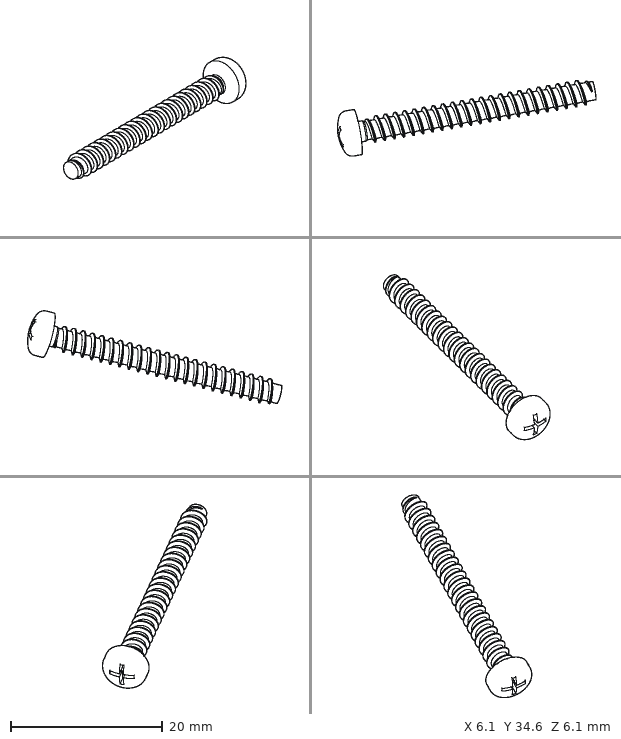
import cadquery as cq
import math


LENGTH = 34.65

HEAD_RADIUS = 3.05
HEAD_HEIGHT = 2.65
RIM_HEIGHT = 1.07
CROWN_EDGE_RADIUS = 2.4
CROWN_DEPTH = 0.52

SLOT_WIDTH = 0.55
SLOT_SPAN = 3.4
SLOT_DEPTH = 1.3

NECK_RADIUS = 1.4
NECK_FILLET = 0.5
NECK_LENGTH = 0.83
NECK_TAPER_LENGTH = 0.2

CORE_RADIUS = 1.25
TIP_CONE_HEIGHT = 0.1

FULL_TURNS = 22
FULL_THREAD_LENGTH = 28.4
PITCH = FULL_THREAD_LENGTH / FULL_TURNS
MAJOR_RADIUS = 1.73
CREST_WIDTH = 0.15
HEAD_FOOT_OFFSET = -0.38
TIP_FOOT_OFFSET = 0.2
LEDGE_RISE = 0.052
LEDGE_DIP = 0.017
LEDGE_RADIUS = CORE_RADIUS + LEDGE_RISE
LEDGE_END_RADIUS = CORE_RADIUS - LEDGE_DIP
LEDGE_END_OFFSET = 0.83
BURIED_RADIUS = 1.15
FADED_CREST_RADIUS = 1.18
FADED_LEDGE_OFFSET = 0.28

CREST_ON_X = 2.67
THREAD_START = 3.35
THREAD_FULL_START = 4.65
THREAD_END = 34.27


def arc_radius(half_chord, rise):
    """Radius of the arc that rises by a given height over half of its chord."""
    return (half_chord**2 + rise**2) / (2 * rise)


CROWN_RADIUS = arc_radius(CROWN_EDGE_RADIUS, CROWN_DEPTH)
CORNER_WIDTH = HEAD_RADIUS - CROWN_EDGE_RADIUS
CORNER_DEPTH = HEAD_HEIGHT - RIM_HEIGHT - CROWN_DEPTH
CORNER_RADIUS = arc_radius(CORNER_DEPTH, CORNER_WIDTH)

LOST_CROWN = CROWN_RADIUS - math.sqrt(CROWN_RADIUS**2 - SLOT_WIDTH**2 / 2)
TIP = LENGTH + LOST_CROWN


def arc_point(center, radius, angle):
    """Point of an arc at an angle measured from the +radius axis towards the tip."""
    return (center[0] + radius * math.cos(angle), center[1] + radius * math.sin(angle))


def make_body():
    """Revolve the head, neck, core and conical tip as one profile of (radius, station)."""
    crown_half_angle = math.asin(CROWN_EDGE_RADIUS / CROWN_RADIUS) / 2
    crown_middle = arc_point((0, CROWN_RADIUS), CROWN_RADIUS, crown_half_angle - math.pi / 2)

    rim_start = HEAD_HEIGHT - RIM_HEIGHT
    corner_half_angle = math.asin(CORNER_DEPTH / CORNER_RADIUS) / 2
    corner_center = (HEAD_RADIUS - CORNER_RADIUS, rim_start)
    corner_middle = arc_point(corner_center, CORNER_RADIUS, -corner_half_angle)

    fillet_center = (NECK_RADIUS + NECK_FILLET, HEAD_HEIGHT + NECK_FILLET)
    fillet_middle = arc_point(fillet_center, NECK_FILLET, -3 * math.pi / 4)
    neck_end = HEAD_HEIGHT + NECK_LENGTH

    profile = (
        cq.Workplane("XZ")
        .moveTo(0, 0)
        .threePointArc(crown_middle, (CROWN_EDGE_RADIUS, CROWN_DEPTH))
        .threePointArc(corner_middle, (HEAD_RADIUS, rim_start))
        .lineTo(HEAD_RADIUS, HEAD_HEIGHT)
        .lineTo(fillet_center[0], HEAD_HEIGHT)
        .threePointArc(fillet_middle, (NECK_RADIUS, fillet_center[1]))
        .lineTo(NECK_RADIUS, neck_end)
        .lineTo(CORE_RADIUS, neck_end + NECK_TAPER_LENGTH)
        .lineTo(CORE_RADIUS, TIP - TIP_CONE_HEIGHT)
        .lineTo(0, TIP)
        .close()
    )
    return profile.revolve(360, (0, 0, 0), (0, 1, 0))


def make_cross_recess():
    """Two crossed slots, sunk from the crown into the head."""
    long_slot = cq.Workplane("XY").box(
        SLOT_SPAN, SLOT_WIDTH, SLOT_DEPTH, centered=(True, True, False)
    )
    return long_slot.union(long_slot.rotate((0, 0, 0), (0, 0, 1), 90))


def ridge_profile(crest_radius, ledge_radius, ledge_end):
    """Corners (radius, offset) of the thread ridge; ledge_end is the last corner."""
    return [
        (BURIED_RADIUS, HEAD_FOOT_OFFSET),
        (crest_radius, -CREST_WIDTH / 2),
        (crest_radius, CREST_WIDTH / 2),
        (ledge_radius, TIP_FOOT_OFFSET),
        ledge_end,
    ]


def helix_between(start_corner, end_corner, start, end):
    """Helix, cylindrical or conical, that carries one ridge corner from start to end."""
    turns = (end - start) / PITCH
    start_radius, start_offset = start_corner
    end_radius, end_offset = end_corner
    height = end - start + end_offset - start_offset
    cone = math.atan2(end_radius - start_radius, height)
    slant_height = height / math.cos(cone)
    cone_degrees = math.degrees(cone) or 360
    helix = cq.Wire.makeHelix(slant_height / turns, slant_height, start_radius, angle=cone_degrees)
    start_angle = 360 * (start - CREST_ON_X) / PITCH
    turned = helix.rotate(cq.Vector(0, 0, 0), cq.Vector(0, 0, 1), start_angle)
    return turned.translate(cq.Vector(0, 0, start + start_offset))


def make_thread():
    """Helical ridge that rises out of the core, runs at full height and sinks again."""
    full = ridge_profile(MAJOR_RADIUS, LEDGE_RADIUS, (LEDGE_END_RADIUS, LEDGE_END_OFFSET))
    faded = ridge_profile(FADED_CREST_RADIUS, BURIED_RADIUS, (BURIED_RADIUS, FADED_LEDGE_OFFSET))
    stages = [(THREAD_START, faded)]
    stages += [(THREAD_FULL_START + turn * PITCH, full) for turn in range(FULL_TURNS + 1)]
    stages.append((THREAD_END, faded))

    faces = []
    stage_edges = []
    for (start, start_profile), (end, end_profile) in zip(stages, stages[1:]):
        edges = [
            helix_between(start_corner, end_corner, start, end)
            for start_corner, end_corner in zip(start_profile, end_profile)
        ]
        for index, edge in enumerate(edges):
            faces += cq.Face.makeRuledSurface(edges[index - 1], edge).Faces()
        stage_edges.append(edges)

    first_cap = [edge.startPoint() for edge in stage_edges[0]]
    last_cap = [edge.endPoint() for edge in stage_edges[-1]]
    for corners in (first_cap, last_cap):
        faces.append(cq.Face.makeFromWires(cq.Wire.makePolygon(corners, close=True)))
    return cq.Workplane(obj=cq.Solid.makeSolid(cq.Shell.makeShell(faces)))


screw = make_body().cut(make_cross_recess()).union(make_thread())
result = screw.rotate((0, 0, 0), (1, 0, 0), 90)